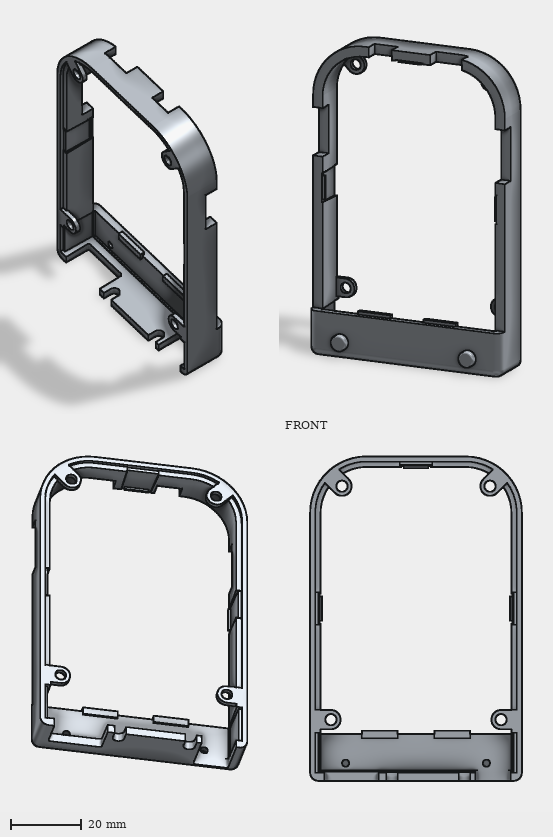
import cadquery as cq
import math

width = 60.3
height = 92.4
frame_depth = 10.6
wall = 3.05
crown_radius = 16.1
edge_radius = 2.4

rabbet_wall = 1.5
rabbet_depth = 1.0

recess_narrowing = 0.4

foot_depth = 13.7
foot_height = 13.4
panel_front = 11.3
panel_lip = 0.65
floor_top = 2.4
pocket_top = 13.7
pocket_wall = 2.3

ear_radius = 2.8
ear_thickness = 1.5
ear_hole = 3.1
lower_ear = (24.2, 17.5)
upper_ear = (21.1, 83.9)
upper_ear_reach = 6.9

pin_diameter = 4.8
pin_end = 15.6
pin_rounding = 0.6
pin_bore = 2.0
pin_bore_depth = 2.0
pin_x = 20.05
pin_z = 5.1

seat_wall = 2.4
seat_length = 9.2
seat_step = 0.3
side_seat_z = 49.1
ridge_length = 7.0
ridge_front = 9.5
ridge_back = 10.2
ridge_wall = 3.4

lug_length = 10.2
lug_x = 10.3
lug_bottom = 12.2
lug_top = 14.3
lug_back = 12.0

tongue_left = -10.5
tongue_right = 16.8
left_cut_start = -26.1
left_cut_depth = 8.2
right_cut_end = 27.0
cut_corner_radius = 0.65
slot_width = 3.3
slot_centre_depth = 2.4
slot_positions = (-6.8, 13.8)

notch_front = 6.65
top_notches = ((-16.6, -6.65), (5.4, 12.7))
left_notch = (57.0, 72.9)
right_notch = (58.3, 72.6)

half_width = width / 2


def block(x0, x1, y0, y1, z0, z1):
    """Box between opposite corner coordinates."""
    return cq.Workplane("XY").box(x1 - x0, y1 - y0, z1 - z0, centered=False).translate((x0, y0, z0))


def cylinder(x, z, diameter, y0, y1):
    """Round bar along Y."""
    return cq.Workplane("XZ", origin=(x, y0, z)).circle(diameter / 2).extrude(y0 - y1)


def arch(inset, bottom, y0, y1):
    """Arched prism along Y, inset from the outer sides and top."""
    side = half_width - inset
    body = block(-side, side, y0, y1, bottom, height - inset)
    return body.edges("|Y and >Z").fillet(crown_radius - inset)


def tapered_block(x_size, z0, z1):
    """Block centred on X, from the rabbet to the back edge, slightly narrower at the back."""
    run = frame_depth - rabbet_depth
    taper = math.degrees(math.atan(recess_narrowing / run))
    plane = cq.Workplane("XZ", origin=(0, rabbet_depth, (z0 + z1) / 2))
    return plane.rect(x_size, z1 - z0).extrude(-run, taper=taper)


def shell():
    """Frame ring with its deeper, closed foot."""
    body = arch(0, 0, 0, frame_depth)
    body = body.union(block(-half_width, half_width, 0, foot_depth, 0, foot_height))
    body = body.edges("|Y and <Z").fillet(edge_radius)
    body = body.faces(">Y").edges("not >Z").fillet(edge_radius)
    body = body.cut(arch(wall, floor_top + panel_lip, 0, panel_front))
    body = body.cut(tapered_block(width - 2 * pocket_wall, floor_top, pocket_top))
    rabbet_side = half_width - rabbet_wall
    body = body.cut(block(-rabbet_side, rabbet_side, 0, rabbet_depth, floor_top, pocket_top))
    rabbet_bottom = lower_ear[1] + ear_radius
    return body.cut(arch(rabbet_wall, rabbet_bottom, 0, rabbet_depth))


def ears():
    """Four screw ears flush with the front edge, without their holes."""
    bodies = cq.Workplane("XY")
    outline = arch(0, 0, 0, ear_thickness)
    for side in (-1, 1):
        x, z = lower_ear
        strap = block(0, half_width - x - rabbet_wall / 2, 0, ear_thickness, -ear_radius, ear_radius)
        lower = strap.translate((x, 0, z)).union(cylinder(x, z, 2 * ear_radius, 0, ear_thickness))
        x, z = upper_ear
        strap = block(0, upper_ear_reach, 0, ear_thickness, -ear_radius, ear_radius)
        strap = strap.rotate((0, 0, 0), (0, 1, 0), -45).translate((x, 0, z))
        upper = strap.union(cylinder(x, z, 2 * ear_radius, 0, ear_thickness)).intersect(outline)
        pair = lower.union(upper)
        bodies = bodies.union(pair if side > 0 else pair.mirror("YZ"))
    return bodies


def ear_holes():
    holes = cq.Workplane("XY")
    for x, z in (lower_ear, upper_ear):
        for side in (-1, 1):
            holes = holes.union(cylinder(side * x, z, ear_hole, 0, ear_thickness))
    return holes


def snap_seats():
    """Shallow tapered recesses for the side and top snaps, with a low step at the rabbet."""
    half = seat_length / 2
    z0 = side_seat_z - half
    z1 = side_seat_z + half
    seat_top = height - seat_wall
    sides = tapered_block(width - 2 * seat_wall, z0, z1)
    top = tapered_block(seat_length, seat_top - 2 * wall, seat_top)
    step_back = rabbet_depth + seat_step
    step_side = half_width - rabbet_wall
    step_top = height - rabbet_wall
    side_step = block(-step_side, step_side, rabbet_depth, step_back, z0, z1)
    top_step = block(-half, half, rabbet_depth, step_back, step_top - wall, step_top)
    return sides.union(top).union(side_step).union(top_step)


def snap_ridges():
    """Ridges standing in the snap seats near the back edge."""
    half = ridge_length / 2
    z0 = side_seat_z - half
    z1 = side_seat_z + half
    right = block(half_width - ridge_wall, half_width - rabbet_wall, ridge_front, ridge_back, z0, z1)
    top = block(-half, half, ridge_front, ridge_back, height - ridge_wall, height - rabbet_wall)
    return right.union(right.mirror("YZ")).union(top)


def lugs():
    bodies = cq.Workplane("XY")
    for x in (-lug_x, lug_x):
        half = lug_length / 2
        bodies = bodies.union(block(x - half, x + half, frame_depth, lug_back, lug_bottom, lug_top))
    return bodies


def pin(x):
    body = cylinder(x, pin_z, pin_diameter, panel_front, pin_end)
    return body.faces(">Y").edges().fillet(pin_rounding)


def pin_hole(x):
    return cylinder(x, pin_z, pin_bore, panel_front, panel_front + pin_bore_depth)


def floor_cut(x0, x1, depth):
    """Opening in the floor from its front edge, rounded at the back corners."""
    cut = block(x0, x1, 0, depth, 0, floor_top + panel_lip)
    return cut.edges("|Z and >Y").fillet(cut_corner_radius)


def tongue_slot(x):
    """U-shaped screw slot open to the front, through the full floor thickness."""
    half = slot_width / 2
    profile = cq.Workplane("XY").moveTo(x - half, 0).lineTo(x - half, slot_centre_depth)
    profile = profile.threePointArc((x, slot_centre_depth + half), (x + half, slot_centre_depth))
    return profile.lineTo(x + half, 0).close().extrude(floor_top + panel_lip)


def wall_notches():
    """Openings through the back edge of the top and side walls."""
    cuts = cq.Workplane("XY")
    crown_base = height - crown_radius
    for x0, x1 in top_notches:
        cuts = cuts.union(block(x0, x1, notch_front, frame_depth, crown_base, height))
    z0, z1 = left_notch
    cuts = cuts.union(block(-half_width, -half_width + wall, notch_front, frame_depth, z0, z1))
    z0, z1 = right_notch
    return cuts.union(block(half_width - wall, half_width, notch_front, frame_depth, z0, z1))


result = shell().cut(snap_seats()).union(snap_ridges())
result = result.union(ears()).cut(ear_holes()).cut(wall_notches())

result = result.cut(floor_cut(left_cut_start, tongue_left, left_cut_depth))
result = result.cut(floor_cut(tongue_right, right_cut_end, panel_front))
for slot_x in slot_positions:
    result = result.cut(tongue_slot(slot_x))

result = result.union(lugs())
for x in (-pin_x, pin_x):
    result = result.union(pin(x)).cut(pin_hole(x))